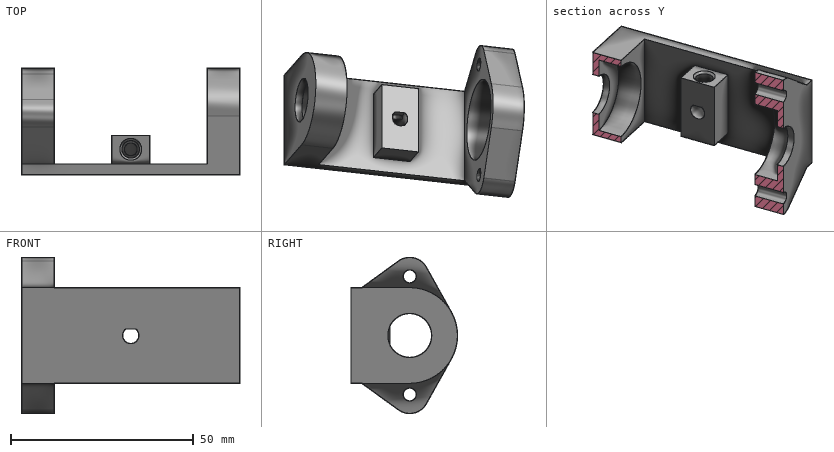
import math

import cadquery as cq

length = 60.0
plate_thickness = 3.0

bearing_diameter = 22.3
bearing_depth = 7.0
seat_lip = 2.0
bore_diameter = 12.0
seat_wall = 2.0
seat_radius = bearing_diameter / 2 + seat_wall
flange_thickness = bearing_depth + seat_lip
axis_y = plate_thickness + seat_radius
plate_height = 2 * seat_radius

overall_height = 42.93
lug_radius = 5.25
lug_hole_diameter = 3.5
lug_offset = overall_height / 2 - lug_radius

block_width = 10.5
block_depth = 7.8
block_height = 18.6
block_top = block_height / 2

cross_hole_diameter = 4.4
cross_hole_flat = 1.75

screw_y = plate_thickness + 4.0
screw_hole_diameter = 3.5
insert_diameter = 4.8
insert_depth = 6.0
insert_mouth_diameter = 6.0
insert_chamfer = (insert_mouth_diameter - insert_diameter) / 2


def cylinder_x(diameter, start, depth, y, z):
    """Cylinder along +X starting at X = start."""
    return cq.Workplane("YZ", origin=(start, y, z)).circle(diameter / 2).extrude(depth)


def polar(center, radius, angle):
    """Point (y, z) on a circle, with the angle measured from +Y toward +Z."""
    return (center[0] + radius * math.cos(angle), center[1] + radius * math.sin(angle))


def mirrored(point):
    return (point[0], -point[1])


def make_backplate():
    return cq.Workplane("XY").box(length, plate_thickness, plate_height, centered=(False, False, True))


def make_lug_flange():
    """Flange whose outline wraps the seat circle, both lugs and the plate edge with tangent lines."""
    seat = (axis_y, 0)
    lug = (axis_y, lug_offset)
    plate_corner = (plate_thickness, plate_height / 2)

    outer_angle = math.asin((seat_radius - lug_radius) / lug_offset)

    corner_dy = lug[0] - plate_corner[0]
    corner_dz = lug[1] - plate_corner[1]
    corner_slope = math.atan2(corner_dz, corner_dy)
    tangent_slope = corner_slope + math.asin(lug_radius / math.hypot(corner_dy, corner_dz))
    inner_angle = math.pi / 2 + tangent_slope

    lug_inner = polar(lug, lug_radius, inner_angle)
    lug_peak = polar(lug, lug_radius, math.pi / 2)
    lug_outer = polar(lug, lug_radius, outer_angle)
    seat_tangent = polar(seat, seat_radius, outer_angle)
    seat_peak = polar(seat, seat_radius, 0)

    return (
        cq.Workplane("YZ")
        .moveTo(0, -plate_height / 2)
        .lineTo(0, plate_height / 2)
        .lineTo(*plate_corner)
        .lineTo(*lug_inner)
        .threePointArc(lug_peak, lug_outer)
        .lineTo(*seat_tangent)
        .threePointArc(seat_peak, mirrored(seat_tangent))
        .lineTo(*mirrored(lug_outer))
        .threePointArc(mirrored(lug_peak), mirrored(lug_inner))
        .lineTo(*mirrored(plate_corner))
        .close()
        .extrude(flange_thickness)
    )


def make_round_flange():
    """Flange at the far end with a half-round outline around the bearing seat."""
    return (
        cq.Workplane("YZ", origin=(length - flange_thickness, 0, 0))
        .moveTo(0, -seat_radius)
        .lineTo(axis_y, -seat_radius)
        .threePointArc((axis_y + seat_radius, 0), (axis_y, seat_radius))
        .lineTo(0, seat_radius)
        .close()
        .extrude(flange_thickness)
    )


def make_block():
    return (
        cq.Workplane("XY")
        .box(block_width, block_depth, block_height, centered=(True, False, True))
        .translate((length / 2, plate_thickness, 0))
    )


def make_bearing_cuts():
    """Bores through both flanges, with the bearing pockets opening toward each other."""
    bore = cylinder_x(bore_diameter, 0, length, axis_y, 0)
    near_pocket = cylinder_x(bearing_diameter, seat_lip, bearing_depth, axis_y, 0)
    far_pocket = cylinder_x(bearing_diameter, length - flange_thickness, bearing_depth, axis_y, 0)
    return near_pocket.union(far_pocket), bore


def make_cross_hole():
    half_chord = math.sqrt((cross_hole_diameter / 2) ** 2 - cross_hole_flat**2)
    return (
        cq.Workplane("XZ", origin=(length / 2, 0, 0))
        .moveTo(-half_chord, cross_hole_flat)
        .lineTo(half_chord, cross_hole_flat)
        .threePointArc((0, -cross_hole_diameter / 2), (-half_chord, cross_hole_flat))
        .close()
        .extrude(-(plate_thickness + block_depth))
    )


def make_screw_hole():
    """Half section of the stepped hole, revolved about the vertical screw axis."""
    return (
        cq.Workplane("XZ", origin=(length / 2, screw_y, 0))
        .moveTo(0, 0)
        .lineTo(screw_hole_diameter / 2, 0)
        .lineTo(screw_hole_diameter / 2, block_top - insert_depth)
        .lineTo(insert_diameter / 2, block_top - insert_depth)
        .lineTo(insert_diameter / 2, block_top - insert_chamfer)
        .lineTo(insert_mouth_diameter / 2, block_top)
        .lineTo(0, block_top)
        .close()
        .revolve(360, (0, 0, 0), (0, 1, 0))
    )


body = make_backplate().union(make_lug_flange()).union(make_round_flange())
bearing_pockets, bearing_bore = make_bearing_cuts()
body = body.cut(bearing_pockets).cut(bearing_bore)

for side in (-1, 1):
    body = body.cut(cylinder_x(lug_hole_diameter, 0, flange_thickness, axis_y, side * lug_offset))

result = body.union(make_block()).cut(make_cross_hole()).cut(make_screw_hole())